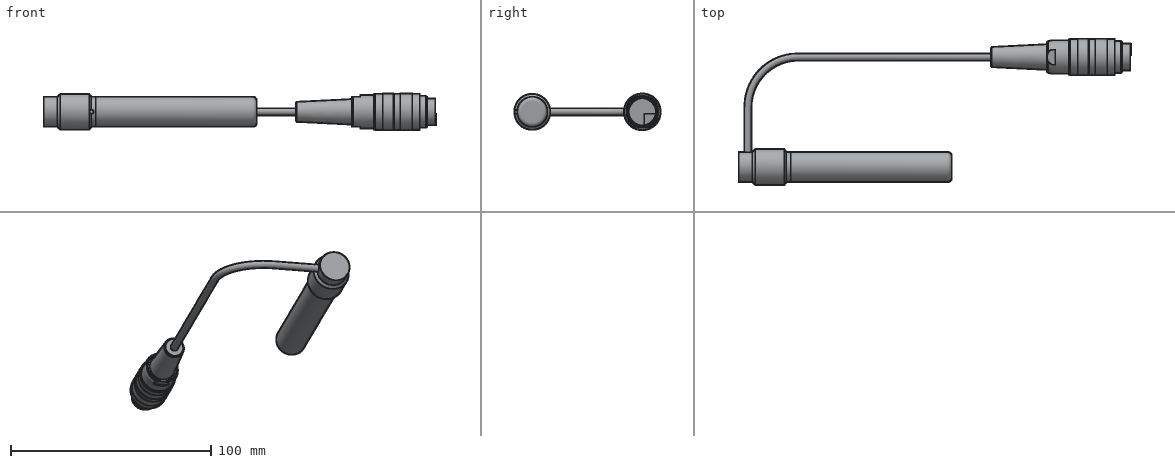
import cadquery as cq

AXIS_SPACING = 55.0
TOTAL_LENGTH = 196.2

SENSOR_DIAMETER = 15.1
COLLAR_DIAMETER = 18.0
STUB_LENGTH = 6.9
COLLAR_FULL_START = 8.5
COLLAR_FULL_END = 22.8
NECK_START = 24.0
HEAD_LENGTH = 26.0

DOT_DIAMETER = 2.2
DOT_DEPTH = 1.0

SENSOR_LENGTH = 106.5
TUBE_END_FILLET = 2.2

CABLE_DIAMETER = 3.7
CABLE_EXIT_X = 4.7
CABLE_BEND_RADIUS = 25.0

BOOT_START = 126.0
BOOT_TIP_CHAMFER = 0.5
BOOT_TIP_DIAMETER = 10.2
BOOT_ROOT_DIAMETER = 13.0

BODY_START = 154.0
BODY_FACE_DIAMETER = 15.0
BODY_EDGE_LENGTH = 0.5
BODY_EDGE_DIAMETER = 15.9
BODY_TAPER_END = 156.4
BODY_DIAMETER = 16.9

FLAT_SPACING = 15.1
FLAT_END = 158.1

SLEEVE_START = 165.0
SLEEVE_CHAMFER = 0.5
SLEEVE_BAND_DIAMETER = 18.2
SLEEVE_DIAMETER = 18.5
FRONT_BAND_END = 169.3
GROOVE_START = 174.6
GROOVE_END = 175.2
GROOVE_DIAMETER = 18.0
MIDDLE_BAND_END = 178.1
REAR_BAND_START = 184.0
SLEEVE_END = 188.0

SHOULDER_DIAMETER = 16.0
SHOULDER_CHAMFER = 0.5
SHOULDER_END = 191.5
PLUG_DIAMETER = 13.5
KEY_LENGTH = 0.5
KEY_INSET = 1.0
PLUG_END = TOTAL_LENGTH - KEY_LENGTH


def turned(profile, axis_y=0.0):
    """Revolve a list of (x, diameter) stations about the line parallel to X at y = axis_y."""
    outline = [(x, diameter / 2) for x, diameter in profile]
    outline = [(profile[0][0], 0), *outline, (profile[-1][0], 0)]
    solid = cq.Workplane("XY").polyline(outline).close().revolve(360, (0, 0, 0), (1, 0, 0))
    return solid.translate((0, axis_y, 0))


def make_sensor_head():
    head = turned([
        (0, SENSOR_DIAMETER),
        (STUB_LENGTH, SENSOR_DIAMETER),
        (COLLAR_FULL_START, COLLAR_DIAMETER),
        (COLLAR_FULL_END, COLLAR_DIAMETER),
        (NECK_START, SENSOR_DIAMETER),
        (HEAD_LENGTH, SENSOR_DIAMETER),
    ])
    dot_floor_y = DOT_DEPTH - SENSOR_DIAMETER / 2
    dot = (
        cq.Workplane("XZ", origin=(NECK_START, dot_floor_y, 0))
        .circle(DOT_DIAMETER / 2)
        .extrude(COLLAR_DIAMETER / 2)
    )
    return head.cut(dot)


def make_sensor_tube():
    tube = (
        cq.Workplane("YZ", origin=(HEAD_LENGTH, 0, 0))
        .circle(SENSOR_DIAMETER / 2)
        .extrude(SENSOR_LENGTH - HEAD_LENGTH)
    )
    return tube.faces(">X").edges().fillet(TUBE_END_FILLET)


def make_cable(head):
    """Round cable from the side of the head, around one bend, to the tip of the boot."""
    bend_center_x = CABLE_EXIT_X + CABLE_BEND_RADIUS
    bend_start_y = AXIS_SPACING - CABLE_BEND_RADIUS
    path = (
        cq.Workplane("XY")
        .moveTo(CABLE_EXIT_X, 0)
        .lineTo(CABLE_EXIT_X, bend_start_y)
        .radiusArc((bend_center_x, AXIS_SPACING), CABLE_BEND_RADIUS)
        .lineTo(BOOT_START, AXIS_SPACING)
    )
    cable = cq.Workplane("XZ", origin=(CABLE_EXIT_X, 0, 0)).circle(CABLE_DIAMETER / 2).sweep(path)
    return cable.cut(head)


def make_wrench_flats():
    """Material above and below the flats, to be cut from the connector body."""
    length = FLAT_END - BODY_START
    center = ((BODY_START + FLAT_END) / 2, AXIS_SPACING, 0)
    block = cq.Workplane("XY").box(length, BODY_DIAMETER, 2 * BODY_DIAMETER)
    kept = cq.Workplane("XY").box(length, BODY_DIAMETER, FLAT_SPACING)
    return block.cut(kept).translate(center)


def make_key():
    """Quarter-round key on the end face of the plug, toward +Y and -Z, set in from both center planes."""
    radius = PLUG_DIAMETER / 2
    disc = cq.Workplane("YZ").circle(radius).extrude(KEY_LENGTH)
    quadrant = (
        cq.Workplane("YZ")
        .moveTo(KEY_INSET, -KEY_INSET)
        .rect(radius, -radius, centered=False)
        .extrude(KEY_LENGTH)
    )
    return disc.intersect(quadrant).translate((PLUG_END, AXIS_SPACING, 0))


def make_connector():
    connector = turned([
        (BOOT_START, BOOT_TIP_DIAMETER - 2 * BOOT_TIP_CHAMFER),
        (BOOT_START + BOOT_TIP_CHAMFER, BOOT_TIP_DIAMETER),
        (BODY_START, BOOT_ROOT_DIAMETER),
        (BODY_START, BODY_FACE_DIAMETER),
        (BODY_START + BODY_EDGE_LENGTH, BODY_EDGE_DIAMETER),
        (BODY_TAPER_END, BODY_DIAMETER),
        (SLEEVE_START, BODY_DIAMETER),
        (SLEEVE_START, SLEEVE_BAND_DIAMETER - SLEEVE_CHAMFER),
        (SLEEVE_START + SLEEVE_CHAMFER, SLEEVE_BAND_DIAMETER),
        (FRONT_BAND_END, SLEEVE_BAND_DIAMETER),
        (FRONT_BAND_END, SLEEVE_DIAMETER),
        (GROOVE_START, SLEEVE_DIAMETER),
        (GROOVE_START, GROOVE_DIAMETER),
        (GROOVE_END, GROOVE_DIAMETER),
        (GROOVE_END, SLEEVE_BAND_DIAMETER),
        (MIDDLE_BAND_END, SLEEVE_BAND_DIAMETER),
        (MIDDLE_BAND_END, SLEEVE_DIAMETER),
        (REAR_BAND_START, SLEEVE_DIAMETER),
        (REAR_BAND_START, SLEEVE_BAND_DIAMETER),
        (SLEEVE_END, SLEEVE_BAND_DIAMETER),
        (SLEEVE_END, SHOULDER_DIAMETER),
        (SHOULDER_END - SHOULDER_CHAMFER, SHOULDER_DIAMETER),
        (SHOULDER_END, SHOULDER_DIAMETER - 2 * SHOULDER_CHAMFER),
        (SHOULDER_END, PLUG_DIAMETER),
        (PLUG_END, PLUG_DIAMETER),
    ], AXIS_SPACING)
    return connector.cut(make_wrench_flats()).union(make_key())


sensor_head = make_sensor_head()
sensor_tube = make_sensor_tube()
cable = make_cable(sensor_head)
connector = make_connector()

result = cq.Compound.makeCompound([
    sensor_head.val(),
    sensor_tube.val(),
    cable.val(),
    connector.val(),
])